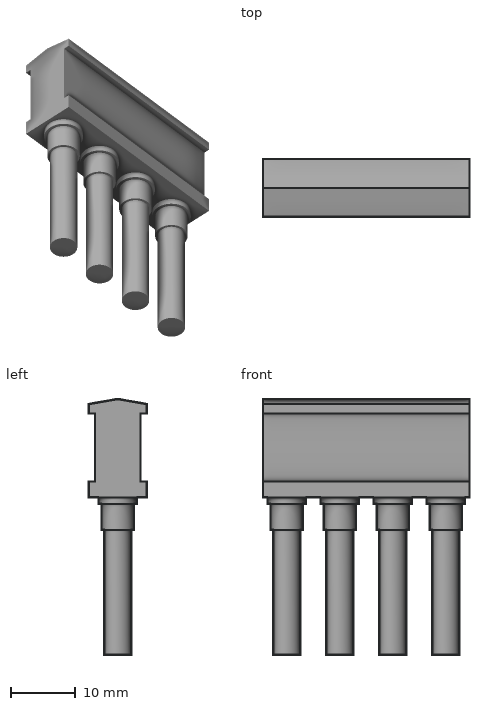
import cadquery as cq

total_height = 39.6
length = 32.0
width = 9.0
web_width = 7.1
roof_rise = 0.8
lip_thickness = 1.5
web_height = 10.45
base_thickness = 2.5

pin_count = 4
pin_pitch = 8.2
collar_diameter = 6.02
collar_height = 1.0
sleeve_diameter = 5.05
sleeve_height = 4.05
pin_diameter = 4.25

ridge_z = total_height
eave_z = ridge_z - roof_rise
lip_bottom_z = eave_z - lip_thickness
base_top_z = lip_bottom_z - web_height
base_bottom_z = base_top_z - base_thickness
collar_bottom_z = base_bottom_z - collar_height
sleeve_bottom_z = collar_bottom_z - sleeve_height


def make_housing():
    """Extrude the symmetric I-section with its shallow pitched roof."""
    half_width = width / 2
    half_web = web_width / 2
    right_side = [
        (half_width, base_bottom_z),
        (half_width, base_top_z),
        (half_web, base_top_z),
        (half_web, lip_bottom_z),
        (half_width, lip_bottom_z),
        (half_width, eave_z),
    ]
    left_side = [(-y, z) for y, z in reversed(right_side)]
    outline = right_side + [(0, ridge_z)] + left_side
    return cq.Workplane("YZ").polyline(outline).close().extrude(length / 2, both=True)


def make_pin(x):
    """Stack the collar, sleeve and shank; each step reaches up to the housing."""
    steps = [
        (collar_diameter, collar_bottom_z),
        (sleeve_diameter, sleeve_bottom_z),
        (pin_diameter, 0),
    ]
    pin = cq.Workplane("XY")
    for diameter, bottom_z in steps:
        step = (
            cq.Workplane("XY", origin=(x, 0, bottom_z))
            .circle(diameter / 2)
            .extrude(base_bottom_z - bottom_z)
        )
        pin = pin.union(step)
    return pin


result = make_housing()
for index in range(pin_count):
    pin_x = (index - (pin_count - 1) / 2) * pin_pitch
    result = result.union(make_pin(pin_x))